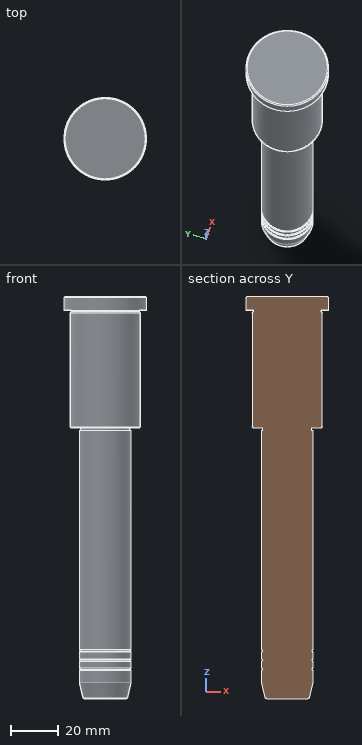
import cadquery as cq

total_length = 171.0
head_diameter = 35.0
head_height = 6.0
body_diameter = 30.0
body_length = 50.0
shank_diameter = 22.0

head_chamfer = 0.5
body_chamfer = 0.5

head_neck_height = 0.5

relief_width = 1.0
relief_depth = 0.5

tip_height = 7.0
tip_diameter = 19.0
tip_bevel_height = 0.5
tip_bevel_width = 0.9

groove_count = 3
groove_width = 1.0
groove_depth = 0.5
groove_pitch = 4.0
lowest_groove_center = 12.7

head_bottom = total_length - head_height
body_bottom = head_bottom - body_length


def cylinder(diameter, bottom, top):
    """Round bar on the Z axis between two heights."""
    return cq.Workplane("XY").workplane(offset=bottom).circle(diameter / 2).extrude(top - bottom)


def ring_cutter(diameter, depth, bottom, width):
    """Ring that cuts a square groove into a bar of the given diameter."""
    return cylinder(diameter, bottom, bottom + width).cut(
        cylinder(diameter - 2 * depth, bottom, bottom + width)
    )


def v_groove_cutter(center_height):
    """Ring of triangular section with its point inside the shank."""
    radius = shank_diameter / 2
    return (
        cq.Workplane("XZ")
        .moveTo(radius, center_height - groove_width / 2)
        .lineTo(radius - groove_depth, center_height)
        .lineTo(radius, center_height + groove_width / 2)
        .close()
        .revolve(360, (0, 0), (0, 1))
    )


def make_head():
    return cylinder(head_diameter, head_bottom, total_length).faces(">Z").edges().chamfer(head_chamfer)


def make_body():
    shoulder_top = head_bottom - head_neck_height
    body = cylinder(body_diameter, body_bottom, shoulder_top)
    body = body.faces("<Z or >Z").edges().chamfer(body_chamfer)
    return body.union(cylinder(body_diameter - 2 * body_chamfer, shoulder_top, head_bottom))


def make_shank():
    shank = cylinder(shank_diameter, tip_height, body_bottom)
    relief_bottom = body_bottom - relief_width
    shank = shank.cut(ring_cutter(shank_diameter, relief_depth, relief_bottom, relief_width))
    for index in range(groove_count):
        groove_center = lowest_groove_center + index * groove_pitch
        shank = shank.cut(v_groove_cutter(groove_center))
    return shank


def make_tip():
    return (
        cq.Workplane("XZ")
        .lineTo(tip_diameter / 2 - tip_bevel_width, 0)
        .lineTo(tip_diameter / 2, tip_bevel_height)
        .lineTo(shank_diameter / 2, tip_height)
        .lineTo(0, tip_height)
        .close()
        .revolve(360, (0, 0), (0, 1))
    )


result = make_head().union(make_body()).union(make_shank()).union(make_tip())